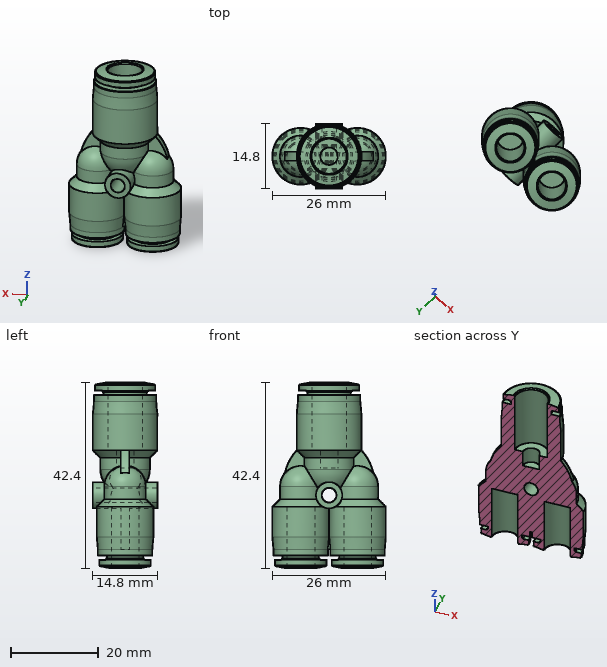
import cadquery as cq
import math

overall_height = 42.4
leg_spacing = 12.95

flange_depth = 1.9
flare_depth = 2.3
sleeve_face_depth = 2.8
rim_depth = 4.3
barrel_depth = 7.15

mouth_slope = 0.187
flange_edge = 0.25
sleeve_edge = 0.15
flare_width = 0.35
mouth_chamfer = 0.3

large_port = dict(
    bore=7.94, flange=13.8, collar_neck=9.94, rim=14.3, barrel=14.8, neck=11.4,
    shoulder_depth=15.5, dome_depth=19.8,
)
small_port = dict(
    bore=6.35, flange=11.8, collar_neck=8.35, rim=12.5, barrel=13.0, neck=9.5,
    shoulder_depth=14.0, dome_depth=18.7,
)

passage_diameter = 4.0
passage_length = 4.0

boss_diameter = 6.0
boss_length = 14.8
boss_hole_diameter = 3.3
boss_height = 16.65

web_thickness = 2.0
rib_mid_point = (9.15, 24.4)
rib_low_point = (10.1, 21.8)


def port_solid(port):
    """Solid outside of one port: mouth at the origin, body extending to -Z and ending in a dome."""
    mouth_radius = port["bore"] / 2 + mouth_chamfer
    flange_radius = port["flange"] / 2
    collar_radius = port["collar_neck"] / 2
    rim_radius = port["rim"] / 2
    barrel_radius = port["barrel"] / 2
    neck_radius = port["neck"] / 2
    shoulder_depth = port["shoulder_depth"]
    dome_depth = port["dome_depth"]

    face_edge_radius = flange_radius - flange_edge
    face_edge_z = -mouth_slope * (face_edge_radius - mouth_radius)

    neck_depth = shoulder_depth + barrel_radius - neck_radius
    dome_mid = neck_radius * math.sqrt(0.5)

    profile = (
        cq.Workplane("XZ")
        .moveTo(0, 0)
        .lineTo(mouth_radius, 0)
        .lineTo(face_edge_radius, face_edge_z)
        .lineTo(flange_radius, face_edge_z - flange_edge)
        .lineTo(flange_radius, -flange_depth)
        .lineTo(collar_radius + flare_width, -flange_depth)
        .lineTo(collar_radius, -flare_depth)
        .lineTo(collar_radius, -sleeve_face_depth)
        .lineTo(rim_radius - sleeve_edge, -sleeve_face_depth)
        .lineTo(rim_radius, -sleeve_face_depth - sleeve_edge)
        .lineTo(rim_radius, -rim_depth)
        .lineTo(barrel_radius, -barrel_depth)
        .lineTo(barrel_radius, -shoulder_depth)
        .lineTo(neck_radius, -neck_depth)
        .lineTo(neck_radius, -dome_depth)
        .threePointArc((dome_mid, -dome_depth - dome_mid), (0, -dome_depth - neck_radius))
        .close()
    )
    return profile.revolve(360, (0, 0, 0), (0, 1, 0))


def port_bore(port):
    """Tube bore with chamfered mouth, seated level with the shoulder of the body."""
    radius = port["bore"] / 2
    profile = (
        cq.Workplane("XZ")
        .moveTo(0, 0)
        .lineTo(radius + mouth_chamfer, 0)
        .lineTo(radius, -mouth_chamfer)
        .lineTo(radius, -port["shoulder_depth"])
        .lineTo(0, -port["shoulder_depth"])
        .close()
    )
    return profile.revolve(360, (0, 0, 0), (0, 1, 0))


def place_large(shape):
    """Move a port shape to the top of the part, mouth facing +Z."""
    return shape.translate((0, 0, overall_height))


def place_small(shape, side):
    """Turn a port shape to face -Z and move it to one leg; side is -1 or 1."""
    return shape.rotate((0, 0, 0), (1, 0, 0), 180).translate((side * leg_spacing / 2, 0, 0))


def cross_cylinder(diameter):
    """Cylinder along Y on the boss axis, centred on the part."""
    return (
        cq.Workplane("XZ", origin=(0, boss_length / 2, boss_height))
        .circle(diameter / 2)
        .extrude(boss_length)
    )


def web():
    """Flat web tying the three ports together, with curved side ribs above the small domes."""
    top_x = large_port["barrel"] / 2
    top_z = overall_height - large_port["shoulder_depth"]
    mid_x, mid_z = rib_mid_point
    low_x, low_z = rib_low_point
    base_x = leg_spacing / 2
    base_z = rim_depth
    return (
        cq.Workplane("XZ")
        .moveTo(top_x, top_z)
        .threePointArc((mid_x, mid_z), (low_x, low_z))
        .lineTo(base_x, base_z)
        .lineTo(-base_x, base_z)
        .lineTo(-low_x, low_z)
        .threePointArc((-mid_x, mid_z), (-top_x, top_z))
        .close()
        .extrude(web_thickness / 2, both=True)
    )


def passage():
    """Blind hole in the seat of the large bore."""
    seat_z = overall_height - large_port["shoulder_depth"]
    return (
        cq.Workplane("XY", origin=(0, 0, seat_z))
        .circle(passage_diameter / 2)
        .extrude(-passage_length)
    )


body = place_large(port_solid(large_port))
for side in (-1, 1):
    body = body.union(place_small(port_solid(small_port), side))
body = body.union(web()).union(cross_cylinder(boss_diameter))

body = body.cut(place_large(port_bore(large_port))).cut(passage())
for side in (-1, 1):
    body = body.cut(place_small(port_bore(small_port), side))
result = body.cut(cross_cylinder(boss_hole_diameter)).solids()